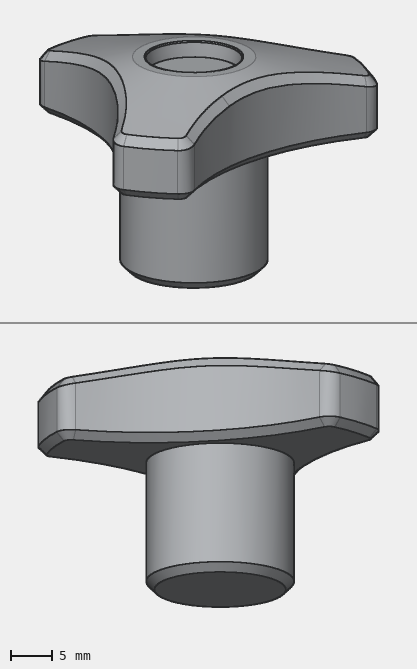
import cadquery as cq
import math

hub_diameter = 18.0
hub_height = 15.97
head_height = 11.05
edge_chamfer = 1.0

arm_count = 3
arm_reach = 22.45
scallop_radius = 33.7
waist_radius = 11.0
corner_radius = 2.0
first_scallop_angle = 30

crown_radius = 7.5
slope_angle = 13

mouth_radius = 6.03
mouth_chamfer = 0.15
floor_radius = 5.65
recess_depth = 2.0

top_z = hub_height + head_height
slope_drop = (arm_reach - crown_radius) * math.tan(math.radians(slope_angle))


def make_sloped_disc():
    """Disc with a flat crown and a conical top, wide enough for the arms."""
    profile = (
        cq.Workplane("XZ")
        .moveTo(0, hub_height)
        .lineTo(arm_reach, hub_height)
        .lineTo(arm_reach, top_z - slope_drop)
        .lineTo(crown_radius, top_z)
        .lineTo(0, top_z)
        .close()
    )
    return profile.revolve(360, (0, 0, 0), (0, 1, 0))


def make_head():
    """Scalloped disc with rounded arm corners and chamfered rims."""
    head = make_sloped_disc()
    scallop_distance = waist_radius + scallop_radius
    for index in range(arm_count):
        angle = math.radians(first_scallop_angle + index * 360 / arm_count)
        scallop = (
            cq.Workplane("XY", origin=(0, 0, hub_height))
            .center(scallop_distance * math.cos(angle), scallop_distance * math.sin(angle))
            .circle(scallop_radius)
            .extrude(head_height)
        )
        head = head.cut(scallop)
    head = head.edges("|Z").fillet(corner_radius)
    head = head.faces("<Z").edges().chamfer(edge_chamfer)
    crown_rim = head.faces(">Z").edges().val()
    slope = head.faces("%CONE").faces(">Z")
    rim = slope.edges().filter(
        lambda edge: not edge.isSame(crown_rim) and edge.geomType() != "LINE"
    )
    return rim.chamfer(edge_chamfer)


def make_hub():
    """Cylindrical hub with a chamfered foot."""
    hub = cq.Workplane("XY").circle(hub_diameter / 2).extrude(hub_height)
    return hub.faces("<Z").chamfer(edge_chamfer)


def make_recess():
    """Volume of the blind recess."""
    floor_z = top_z - recess_depth
    profile = (
        cq.Workplane("XZ")
        .moveTo(0, floor_z)
        .lineTo(floor_radius, floor_z)
        .lineTo(mouth_radius - mouth_chamfer, top_z - mouth_chamfer)
        .lineTo(mouth_radius, top_z)
        .lineTo(0, top_z)
        .close()
    )
    return profile.revolve(360, (0, 0, 0), (0, 1, 0))


result = make_head().union(make_hub()).cut(make_recess())